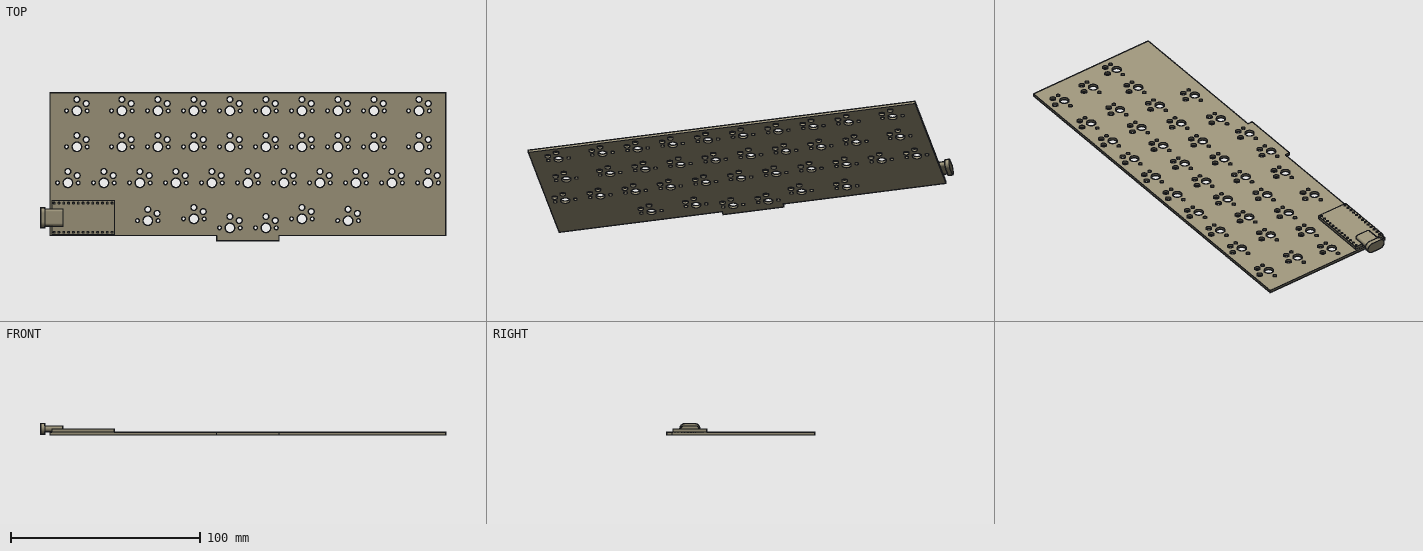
import cadquery as cq

overall_length = 214.0
overall_width = 78.3
tab_depth = 2.8
board_length = 209.0
keys_per_row = 11
key_pitch = board_length / keys_per_row
board_width = overall_width - tab_depth
board_thickness = 1.55
key_top_margin = 9.6
board_left = overall_length / 2 - board_length
board_top = board_width / 2
board_middle_x = board_left + board_length / 2
first_row_y = board_top - key_top_margin

tab_length = 33.0

stem_diameter = 5.0
side_peg_diameter = 1.9
side_peg_spacing = 11.0
contact_diameter = 3.0
contact_points = [(0, 6.0), (5.0, 3.9)]

bottom_row = 3
lowered_row = 3.25
outer_thumb_offset = 52.9
outer_thumb_drop = 0.96

controller_length = 33.0
controller_width = 18.0
controller_thickness = 1.7
controller_left_gap = 1.0
controller_front_gap = 0.53
header_diameter = 1.0
header_count = 13
header_row_length = 30.5
header_pitch = header_row_length / (header_count - 1)
header_row_spacing = 15.5

plug_top = 6.2
plug_width = 10.7
plug_height = 5.8
plug_length = 2.4
shell_width = 9.2
shell_height = 3.2
shell_length = 9.5
shell_corner = 1.5

controller_left = board_left + controller_left_gap
controller_x = controller_left + controller_length / 2
controller_y = -board_top + controller_front_gap + controller_width / 2
plug_axis_height = plug_top - plug_height / 2
plug_left = board_left + board_length - overall_length


def key_centres():
    """Centres of all keys; columns count key units from the left edge, rows from the top row."""
    staggered_columns = [0.75, *range(2, 10), 10.25]
    full_row_columns = [column + 0.5 for column in range(keys_per_row)]
    keys = [(column, 0) for column in staggered_columns]
    keys += [(column, 1) for column in staggered_columns]
    keys += [(column, 2) for column in full_row_columns]
    keys += [(4, bottom_row), (5, lowered_row), (6, lowered_row), (7, bottom_row)]
    centres = [(board_left + column * key_pitch, first_row_y - row * key_pitch) for column, row in keys]

    outer_thumb_y = first_row_y - bottom_row * key_pitch - outer_thumb_drop
    centres += [(board_middle_x + side * outer_thumb_offset, outer_thumb_y) for side in (-1, 1)]
    return centres


def cut_at_keys(board, diameter, offsets):
    """Drill one through hole at each offset from every key centre."""
    points = [(x + dx, y + dy) for x, y in key_centres() for dx, dy in offsets]
    drills = cq.Workplane("XY").pushPoints(points).circle(diameter / 2).extrude(board_thickness)
    return board.cut(drills)


def make_keyboard_board():
    board = (
        cq.Workplane("XY")
        .center(board_middle_x, 0)
        .rect(board_length, board_width)
        .extrude(board_thickness)
    )
    tab = (
        cq.Workplane("XY")
        .center(board_middle_x, -board_top)
        .rect(tab_length, 2 * tab_depth)
        .extrude(board_thickness)
    )
    board = board.union(tab)
    board = cut_at_keys(board, stem_diameter, [(0, 0)])
    board = cut_at_keys(board, side_peg_diameter, [(-side_peg_spacing / 2, 0), (side_peg_spacing / 2, 0)])
    return cut_at_keys(board, contact_diameter, contact_points)


def make_controller():
    controller = (
        cq.Workplane("XY", origin=(controller_x, controller_y, board_thickness))
        .rect(controller_length, controller_width)
        .extrude(controller_thickness)
        .faces(">Z")
        .workplane(origin=(controller_x, controller_y, 0))
        .rarray(header_pitch, header_row_spacing, header_count, 2)
        .hole(header_diameter)
    )
    plug_end = cq.Workplane("YZ", origin=(plug_left, controller_y, plug_axis_height))
    shell = (
        plug_end.rect(shell_width, shell_height)
        .extrude(plug_length + shell_length)
        .edges("|X")
        .fillet(shell_corner)
    )
    plug = plug_end.slot2D(plug_width, plug_height).extrude(plug_length)
    return controller.union(shell).union(plug)


keyboard_board = make_keyboard_board()
controller = make_controller()

result = cq.Compound.makeCompound([keyboard_board.val(), controller.val()])